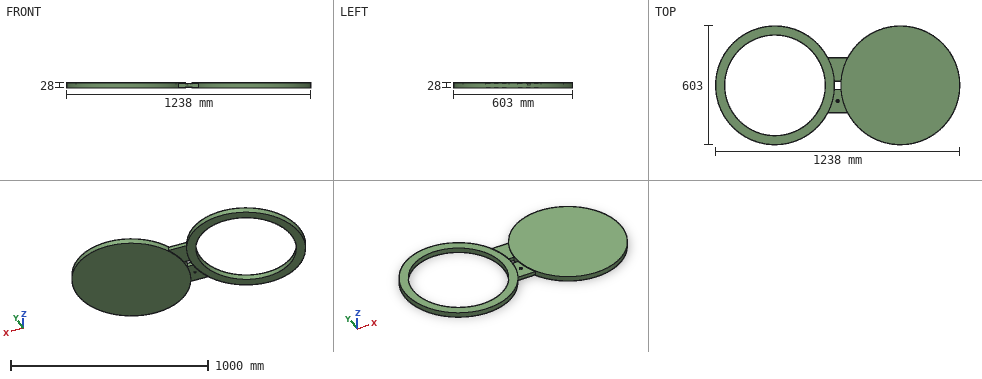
import cadquery as cq

overall_length = 1238.0
disc_diameter = 603.0
thickness = 28.0

opening_diameter = 509.0

web_width = 280.0
web_thickness = 21.0
web_gap = 41.0

hole_diameter = 9.0
counterbore_diameter = 16.0
counterbore_depth = 7.0
hole_offset = 79.0

center_offset = (overall_length - disc_diameter) / 2


def round_plate(center_x, diameter):
    """Full-thickness round plate centred on the mid-plane."""
    return cq.Workplane("XY").cylinder(thickness, diameter / 2).translate((center_x, 0, 0))


def web_strip(width):
    """Thin strip running from the ring centre to the disc centre."""
    return cq.Workplane("XY").box(2 * center_offset, width, web_thickness)


web = (
    web_strip(web_width)
    .faces(">Z")
    .workplane()
    .center(0, -hole_offset)
    .cboreHole(hole_diameter, counterbore_diameter, counterbore_depth)
    .cut(web_strip(web_gap))
)

ring_blank = round_plate(-center_offset, disc_diameter)
disc = round_plate(center_offset, disc_diameter)
ring_opening = round_plate(-center_offset, opening_diameter)

result = ring_blank.union(web).union(disc).cut(ring_opening)